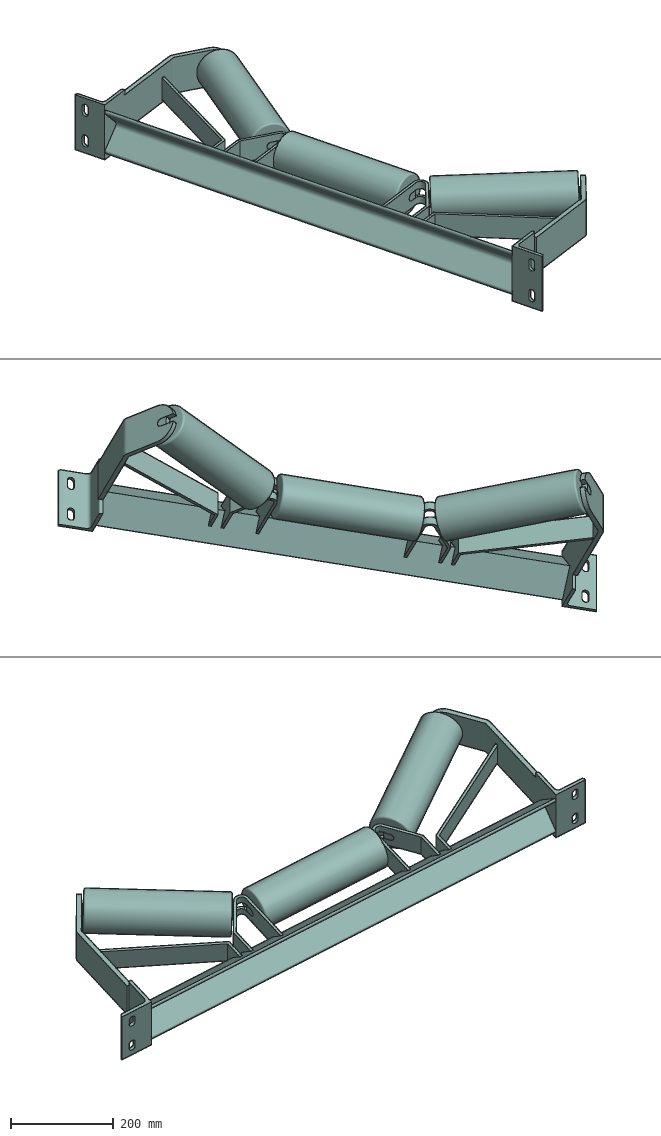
import cadquery as cq
import math


LEG = 70.0
LEG_THICKNESS = 7.0
ROOT_RADIUS = 9.0
TOE_RADIUS = 4.5

OVERALL_LENGTH = 1100.0
FOOT_WIDTH = 125.0
FOOT_INNER_X = OVERALL_LENGTH / 2 - LEG
FIXING_X = 526.0
FIXING_PITCH = 70.0
FIXING_WIDTH = 14.0
FIXING_LENGTH = 27.0

ROLLER_DIAMETER = 89.0
ROLLER_LENGTH = 290.0
ROLLER_EDGE_RADIUS = 4.0
END_GAP = 3.4
SHAFT_DIAMETER = 20.0
SHAFT_FLATS = 17.0
TONGUE_DEPTH = 11.0
TONGUE_TOP = 10.5
SLOT_CUT_HEIGHT = 80.0
SLOT_CUT_DEPTH = 25.0
CENTRE_ROLLER_Y = 134.0
TROUGH_ANGLE = 35.0
WING_X = 307.0
WING_Y = 230.03
ARM_AXIS_Z = 10.0

ARM_THICKNESS = 10.0
ARM_WIDTH = 82.0
ARM_BEND_RADIUS = 8.0
ARM_TIP_Y = 344.5

STRIP_THICKNESS = 6.0
STRIP_WIDTH = 50.0
BRACKET_OUTER_X = 225.5
BRACKET_BEND_RADIUS = 10.0
STRUT_OUTER_X = 251.5
STRUT_BEND_Y = 69.5
STRUT_TOP_Y = 200.0

SIDES = (-1, 1)

SINE = math.sin(math.radians(TROUGH_ANGLE))
COSINE = math.cos(math.radians(TROUGH_ANGLE))
SUPPORT_DISTANCE = ROLLER_LENGTH / 2 + END_GAP
SHOULDER = ROLLER_LENGTH / 2 + END_GAP / 2
ARM_OUTER_DISTANCE = SUPPORT_DISTANCE + ARM_THICKNESS
BRACKET_OUTER_DISTANCE = SUPPORT_DISTANCE + STRIP_THICKNESS
ARM_OUTER_X = FOOT_INNER_X + ARM_THICKNESS
BEAM_DEPTH = (LEG + LEG_THICKNESS) / math.sqrt(2) - TOE_RADIUS * (math.sqrt(2) - 1)
WING_TILT = math.asin(ARM_AXIS_Z / (SUPPORT_DISTANCE + ARM_OUTER_DISTANCE))


def edge_near(plane, x, y):
    return cq.selectors.NearestToPointSelector(plane.toWorldCoords((x, y)))


def angle_section(plane, length):
    """Equal-leg angle with its outer corner at the plane origin."""
    bar = (
        cq.Workplane(plane)
        .polyline([
            (0, 0),
            (LEG, 0),
            (LEG, LEG_THICKNESS),
            (LEG_THICKNESS, LEG_THICKNESS),
            (LEG_THICKNESS, LEG),
            (0, LEG),
        ])
        .close()
        .extrude(length / 2, both=True)
    )
    bar = bar.edges(edge_near(plane, LEG_THICKNESS, LEG_THICKNESS)).fillet(ROOT_RADIUS)
    bar = bar.edges(edge_near(plane, LEG, LEG_THICKNESS)).fillet(TOE_RADIUS)
    return bar.edges(edge_near(plane, LEG_THICKNESS, LEG)).fillet(TOE_RADIUS)


def make_beam():
    """Beam with its corner pointing to +Y and both toes on Y = 0."""
    plane = cq.Plane(origin=(0, BEAM_DEPTH, 0), xDir=(0, -1, 1), normal=(1, 0, 0))
    return angle_section(plane, 2 * FOOT_INNER_X)


def beam_envelope():
    """Solid wedge filling the beam out to its two outer faces."""
    return (
        cq.Workplane("YZ")
        .polyline([(0, -BEAM_DEPTH), (BEAM_DEPTH, 0), (0, BEAM_DEPTH)])
        .close()
        .extrude(FOOT_INNER_X, both=True)
    )


def make_foot(side):
    plane = cq.Plane(origin=(side * FOOT_INNER_X, 0, 0), xDir=(side, 0, 0), normal=(0, 0, side))
    foot = angle_section(plane, FOOT_WIDTH)
    slots = (
        cq.Workplane("XZ", origin=(side * FIXING_X, 0, 0))
        .pushPoints([(0, -FIXING_PITCH / 2), (0, FIXING_PITCH / 2)])
        .slot2D(FIXING_LENGTH, FIXING_WIDTH, 90)
        .extrude(-LEG_THICKNESS)
    )
    return foot.cut(slots)


def face_y(x, distance):
    """Y at which the support face at a signed distance from the wing roller middle meets x."""
    return WING_Y + (distance - (x - WING_X) * COSINE) / SINE


def wing_point(distance, across):
    """Point along the wing roller axis (outward) and across it, for the +X side."""
    return (WING_X + distance * COSINE - across * SINE, WING_Y + distance * SINE + across * COSINE)


def mirrored(points, side):
    return [(side * x, y) for x, y in points]


def make_arm(side):
    bend_y = face_y(ARM_OUTER_X, ARM_OUTER_DISTANCE)
    inner_bend_y = face_y(FOOT_INNER_X, SUPPORT_DISTANCE)
    tip_length = (ARM_TIP_Y - WING_Y - ARM_OUTER_DISTANCE * SINE) / COSINE
    outline = [
        (FOOT_INNER_X, LEG),
        (ARM_OUTER_X, LEG),
        (ARM_OUTER_X, bend_y),
        wing_point(ARM_OUTER_DISTANCE, tip_length),
        wing_point(SUPPORT_DISTANCE, tip_length),
        (FOOT_INNER_X, inner_bend_y),
    ]
    arm = (
        cq.Workplane("XY", origin=(0, 0, ARM_AXIS_Z))
        .polyline(mirrored(outline, side))
        .close()
        .extrude(ARM_WIDTH / 2, both=True)
    )
    inner_bend = cq.selectors.NearestToPointSelector((side * FOOT_INNER_X, inner_bend_y, ARM_AXIS_Z))
    outer_bend = cq.selectors.NearestToPointSelector((side * ARM_OUTER_X, bend_y, ARM_AXIS_Z))
    arm = arm.edges(inner_bend).fillet(ARM_BEND_RADIUS)
    arm = arm.edges(outer_bend).fillet(ARM_BEND_RADIUS + ARM_THICKNESS)
    return arm.cut(arm_tip_waste(side, tip_length))


def arm_tip_waste(side, tip_length):
    """Material outside the full-width round at the tip of the arm."""
    tip_x, tip_y = wing_point(0, tip_length - ARM_WIDTH / 2)
    plane = cq.Plane(
        origin=(side * tip_x, tip_y, ARM_AXIS_Z),
        xDir=(-side * SINE, COSINE, 0),
        normal=(side * COSINE, SINE, 0),
    )
    square_end = cq.Workplane(plane).center(ARM_WIDTH / 4, 0).rect(ARM_WIDTH / 2, ARM_WIDTH)
    round_end = cq.Workplane(plane).circle(ARM_WIDTH / 2)
    return square_end.extrude(ROLLER_LENGTH).cut(round_end.extrude(ROLLER_LENGTH))


def make_strut(side):
    """Cranked strip from the beam to the inner face of the arm."""
    slope = math.atan2(STRUT_TOP_Y - STRUT_BEND_Y, FOOT_INNER_X - STRUT_OUTER_X)
    drop = STRIP_THICKNESS / math.cos(slope)
    inner_x = STRUT_OUTER_X - STRIP_THICKNESS
    inner_bend_y = STRUT_BEND_Y + drop - STRIP_THICKNESS * math.tan(slope)
    outline = [
        (inner_x, 0),
        (STRUT_OUTER_X, 0),
        (STRUT_OUTER_X, STRUT_BEND_Y),
        (FOOT_INNER_X, STRUT_TOP_Y),
        (FOOT_INNER_X, STRUT_TOP_Y + drop),
        (inner_x, inner_bend_y),
    ]
    strut = cq.Workplane("XY").polyline(mirrored(outline, side)).close().extrude(STRIP_WIDTH / 2, both=True)
    return strut.cut(beam_envelope())


def make_bracket(side):
    """Folded strip holding the inner ends of the centre roller and one wing roller."""
    inner_radius = BRACKET_BEND_RADIUS
    fold_radius = inner_radius + STRIP_THICKNESS
    fold_x = SUPPORT_DISTANCE + fold_radius
    fold_y = face_y(fold_x, -SUPPORT_DISTANCE - fold_radius)

    def fold_point(radius, angle):
        return (
            side * (fold_x + radius * math.cos(math.radians(angle))),
            fold_y + radius * math.sin(math.radians(angle)),
        )

    arc_middle = (TROUGH_ANGLE + 180) / 2
    base_x = BRACKET_OUTER_X - STRIP_THICKNESS
    profile = (
        cq.Workplane("XY")
        .moveTo(side * BRACKET_OUTER_X, 0)
        .lineTo(side * BRACKET_OUTER_X, face_y(BRACKET_OUTER_X, -SUPPORT_DISTANCE))
        .lineTo(*fold_point(fold_radius, TROUGH_ANGLE))
        .threePointArc(fold_point(fold_radius, arc_middle), fold_point(fold_radius, 180))
        .lineTo(side * SUPPORT_DISTANCE, 0)
        .lineTo(side * BRACKET_OUTER_DISTANCE, 0)
        .lineTo(*fold_point(inner_radius, 180))
        .threePointArc(fold_point(inner_radius, arc_middle), fold_point(inner_radius, TROUGH_ANGLE))
        .lineTo(side * base_x, face_y(base_x, -BRACKET_OUTER_DISTANCE))
        .lineTo(side * base_x, 0)
        .close()
    )
    return profile.extrude(STRIP_WIDTH / 2, both=True).cut(beam_envelope())


def wing_plane(side):
    """Origin at the wing roller middle, normal outward along its axis, local x up the supports."""
    middle_z = ARM_AXIS_Z * SUPPORT_DISTANCE / (SUPPORT_DISTANCE + ARM_OUTER_DISTANCE)
    return cq.Plane(
        origin=(side * WING_X, WING_Y, middle_z),
        xDir=(-side * SINE, COSINE, 0),
        normal=(side * COSINE * math.cos(WING_TILT), SINE * math.cos(WING_TILT), math.sin(WING_TILT)),
    )


def centre_plane():
    return cq.Plane(origin=(0, CENTRE_ROLLER_Y, 0), xDir=(0, 1, 0), normal=(1, 0, 0))


def tongue_outline(plane, start, top):
    """Flat-sided shaft end with a round bottom, open upward to the given height."""
    half = SHAFT_FLATS / 2
    arc_x = half - TONGUE_DEPTH
    return (
        cq.Workplane(plane)
        .workplane(offset=start)
        .moveTo(top, -half)
        .lineTo(arc_x, -half)
        .threePointArc((-TONGUE_DEPTH, 0), (arc_x, half))
        .lineTo(top, half)
        .close()
    )


def bar_along(plane, radius, start, end):
    """Cylinder about the plane normal between two distances from the plane."""
    return cq.Workplane(plane).workplane(offset=start).circle(radius).extrude(end - start)


def make_roller(plane):
    half = ROLLER_LENGTH / 2
    roller = bar_along(plane, ROLLER_DIAMETER / 2, -half, half).edges().fillet(ROLLER_EDGE_RADIUS)
    return roller.cut(bar_along(plane, SHAFT_DIAMETER / 2, -half, half))


def make_shaft(plane, inner_end, outer_end):
    """Round shaft with a flat-sided tongue at each end that sits in the support slots."""
    shaft = bar_along(plane, SHAFT_DIAMETER / 2, -SHOULDER, SHOULDER)
    inner = tongue_outline(plane, -inner_end, TONGUE_TOP).extrude(inner_end - SHOULDER)
    outer = tongue_outline(plane, SHOULDER, TONGUE_TOP).extrude(outer_end - SHOULDER)
    return shaft.union(inner).union(outer)


def support_slot(plane, end):
    """Cutter for an open-topped slot beyond one end (-1 or 1) of a roller."""
    return tongue_outline(plane, end * ROLLER_LENGTH / 2, SLOT_CUT_HEIGHT).extrude(end * SLOT_CUT_DEPTH)


def make_frame():
    """Welded frame of beam, feet, arms and struts."""
    frame = make_beam()
    for side in SIDES:
        frame = frame.union(make_foot(side)).union(make_arm(side)).union(make_strut(side))
        frame = frame.cut(support_slot(wing_plane(side), 1))
    return frame


def make_slotted_bracket(side):
    bracket = make_bracket(side).cut(support_slot(wing_plane(side), -1))
    return bracket.cut(support_slot(centre_plane(), side))


frame = make_frame()
brackets = [make_slotted_bracket(side) for side in SIDES]

wing_planes = [wing_plane(side) for side in SIDES]
rollers = [make_roller(plane) for plane in [centre_plane()] + wing_planes]
shafts = [make_shaft(centre_plane(), BRACKET_OUTER_DISTANCE, BRACKET_OUTER_DISTANCE)]
shafts += [make_shaft(plane, BRACKET_OUTER_DISTANCE, ARM_OUTER_DISTANCE) for plane in wing_planes]

bodies = [frame] + brackets + rollers + shafts
result = cq.Compound.makeCompound([body.val() for body in bodies])